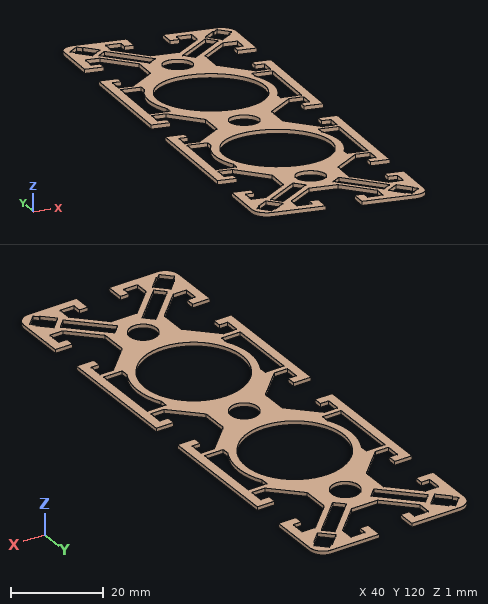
import cadquery as cq
import math

length = 120.0
cell_count = 3
cell = length / cell_count
half_cell = cell / 2
thickness = 1.0
corner_radius = 3.5

slot_opening = 8.3
lip_thickness = 2.4
hook_width = 2.3
hook_depth = 4.5
slot_width = 19.9
slot_depth = 12.4
slot_floor_width = 6.7

node_hole_diameter = 6.8
bore_diameter = 25.0

pocket_length = 17.3
pocket_inner_x = 12.8
ring_diameter = 29.0

web_slot_start = 6.0
web_slot_end = 18.0
web_slot_width = 3.0
corner_pocket_start = 19.3
corner_pocket_step = 23.3
corner_pocket_end = 24.7
corner_pocket_wide = 4.1
corner_pocket_narrow = 3.5

bore_centres = [(0, -half_cell), (0, half_cell)]
node_centres = [(0, -cell), (0, 0), (0, cell)]


def extrude_up(sketch):
    """Extrude the outline through the full plate thickness."""
    return sketch.extrude(thickness)


def t_slot(centre, angle):
    """T-slot cutter of the node at centre, opening toward +X turned by angle."""
    half_opening = slot_opening / 2
    half_slot = slot_width / 2
    half_floor = slot_floor_width / 2
    floor_x = half_cell - slot_depth
    hook_x = half_cell - hook_depth
    lip_x = half_cell - lip_thickness
    flank_x = floor_x + half_slot - half_floor
    upper = [
        (half_cell, half_opening),
        (hook_x, half_opening),
        (hook_x, half_opening + hook_width),
        (lip_x, half_opening + hook_width),
        (lip_x, half_slot),
        (flank_x, half_slot),
        (floor_x, half_floor),
    ]
    lower = [(x, -y) for x, y in reversed(upper)]
    cutter = extrude_up(cq.Workplane("XY").polyline(upper + lower).close())
    return cutter.rotate((0, 0, 0), (0, 0, 1), angle).translate((*centre, 0))


def side_pocket(bore_centre, side):
    """Rectangular pocket beside a bore, bounded inside by the ring around the bore.

    The ring bulges into the pocket in the middle, so the pocket follows
    whichever of the ring and the straight inner wall lies farther from the bore axis.
    """
    outer_x = half_cell - lip_thickness
    half_length = pocket_length / 2
    ring_radius = ring_diameter / 2
    ring_y = math.sqrt(ring_radius**2 - pocket_inner_x**2)
    cutter = extrude_up(
        cq.Workplane("XY")
        .moveTo(side * outer_x, -half_length)
        .lineTo(side * outer_x, half_length)
        .lineTo(side * pocket_inner_x, half_length)
        .lineTo(side * pocket_inner_x, ring_y)
        .threePointArc((side * ring_radius, 0), (side * pocket_inner_x, -ring_y))
        .lineTo(side * pocket_inner_x, -half_length)
        .close()
    )
    return cutter.translate((*bore_centre, 0))


def diagonal_cavity(centre, angle, start, end, width):
    """Rectangular cavity lying along a ray from the node centre."""
    cutter = extrude_up(cq.Workplane("XY").center((start + end) / 2, 0).rect(end - start, width))
    return cutter.rotate((0, 0, 0), (0, 0, 1), angle).translate((*centre, 0))


def stepped_corner_pocket(centre, angle):
    """Corner pocket that narrows in one step towards the rounded corner."""
    narrow = diagonal_cavity(centre, angle, corner_pocket_start, corner_pocket_end, corner_pocket_narrow)
    wide = diagonal_cavity(centre, angle, corner_pocket_start, corner_pocket_step, corner_pocket_wide)
    return narrow.union(wide)


result = extrude_up(cq.Workplane("XY").rect(cell, length)).edges("|Z").fillet(corner_radius)

result = result.cut(extrude_up(cq.Workplane("XY").pushPoints(node_centres).circle(node_hole_diameter / 2)))
result = result.cut(extrude_up(cq.Workplane("XY").pushPoints(bore_centres).circle(bore_diameter / 2)))

for node in node_centres:
    for slot_angle in (0, 180):
        result = result.cut(t_slot(node, slot_angle))

for bore in bore_centres:
    for pocket_side in (-1, 1):
        result = result.cut(side_pocket(bore, pocket_side))

for end_sign in (-1, 1):
    end_node = (0, end_sign * cell)
    result = result.cut(t_slot(end_node, end_sign * 90))
    for diagonal in (end_sign * 45, end_sign * 135):
        web_slot = diagonal_cavity(end_node, diagonal, web_slot_start, web_slot_end, web_slot_width)
        result = result.cut(web_slot)
        result = result.cut(stepped_corner_pocket(end_node, diagonal))